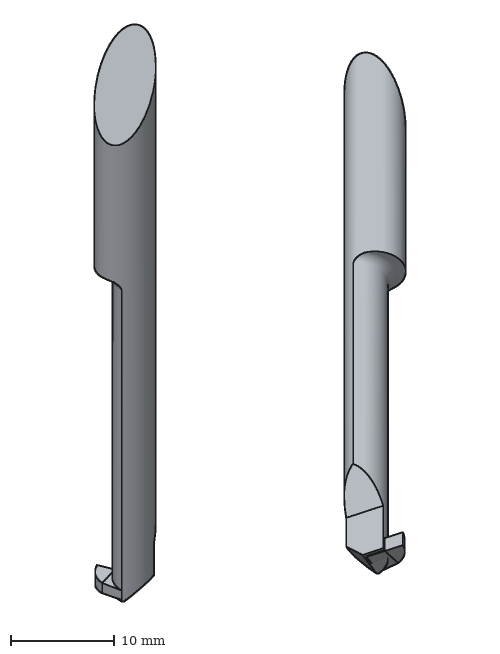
import cadquery as cq
import math

shank_radius = 3.0
total_length = 62.45
end_angle = 60.0

neck_top = 36.55
neck_offset = 1.95
neck_fillet = 0.95

side_clearance = 0.6

bar_bottom = 0.1
flat_y = 0.3
flat_top = 5.6
flat_runout_angle = 59.0
corner_chamfer = 1.8

tip_height = 1.7
tip_relief = 0.3
tip_top_fall = 0.3
heel_x = -1.3
heel_y = -2.45
flank_mid_x = -2.5
flank_mid_y = -1.45

lens_edge_x = neck_offset / 2
lens_edge_y = math.sqrt(shank_radius**2 - lens_edge_x**2)
neck_left_x = neck_offset - shank_radius


def cut_along_x(profile):
    """Extrude a closed (Y, Z) profile through the full width of the shank."""
    return cq.Workplane("YZ").polyline(profile).close().extrude(shank_radius + side_clearance, both=True)


def make_neck_envelope():
    """Trimming cylinder with a concave fillet flaring out under the shank."""
    flare_radius = shank_radius + neck_fillet
    fillet_bottom = neck_top - neck_fillet
    arc_inset = neck_fillet * (1 - math.sqrt(0.5))
    profile = (
        cq.Workplane("XZ")
        .moveTo(0, bar_bottom)
        .lineTo(shank_radius, bar_bottom)
        .lineTo(shank_radius, fillet_bottom)
        .threePointArc((shank_radius + arc_inset, neck_top - arc_inset), (flare_radius, neck_top))
        .lineTo(0, neck_top)
        .close()
    )
    return profile.revolve(360, (0, 0, 0), (0, 1, 0)).translate((neck_offset, 0, 0))


def make_bar():
    shank = cq.Workplane("XY").workplane(offset=neck_top).circle(shank_radius)
    shank = shank.extrude(total_length - neck_top)
    end_drop = 2 * shank_radius * math.tan(math.radians(end_angle))
    shank = shank.cut(cut_along_x([
        (shank_radius, total_length),
        (-shank_radius, total_length - end_drop),
        (-shank_radius, total_length),
    ]))

    neck = cq.Workplane("XY").workplane(offset=bar_bottom).circle(shank_radius)
    neck = neck.extrude(neck_top - bar_bottom).intersect(make_neck_envelope())

    runout_rise = (shank_radius - flat_y) * math.tan(math.radians(flat_runout_angle))
    neck = neck.cut(cut_along_x([
        (flat_y, bar_bottom),
        (flat_y, flat_top),
        (shank_radius, flat_top + runout_rise),
        (shank_radius, bar_bottom),
    ]))

    chamfer = (
        cq.Workplane("XZ")
        .polyline([
            (shank_radius - corner_chamfer, bar_bottom),
            (shank_radius, bar_bottom),
            (shank_radius, bar_bottom + corner_chamfer),
        ])
        .close()
        .extrude(shank_radius, both=True)
    )
    return shank.union(neck.cut(chamfer)).union(make_heel())


def shape_hook_part(outline):
    """Raise a closed plan outline into the hook, with its sloping upper face and underside."""
    relief = cut_along_x([
        (0, 0),
        (0, tip_height),
        (-shank_radius, tip_height - tip_top_fall),
        (-shank_radius, tip_relief),
    ])
    return outline.extrude(tip_height).intersect(relief)


def make_heel():
    """Part of the hook that belongs to the bar, between the tip and the neck."""
    outline = (
        cq.Workplane("XY")
        .polyline([
            (neck_left_x, 0),
            (heel_x, heel_y),
            (lens_edge_x, -lens_edge_y),
            (lens_edge_x, 0),
        ])
        .close()
    )
    return shape_hook_part(outline)


def make_tip():
    """Cutting tip seated on the heel, with its rake face at Y = 0."""
    outline = (
        cq.Workplane("XY")
        .moveTo(neck_left_x, 0)
        .lineTo(-shank_radius, 0)
        .threePointArc((flank_mid_x, flank_mid_y), (heel_x, heel_y))
        .close()
    )
    neck_foot = (
        cq.Workplane("XY")
        .center(neck_offset, 0)
        .circle(shank_radius)
        .extrude(tip_height)
    )
    return shape_hook_part(outline).cut(neck_foot)


bar = make_bar().solids()
tip = make_tip().solids()
result = cq.Compound.makeCompound([bar.val(), tip.val()])